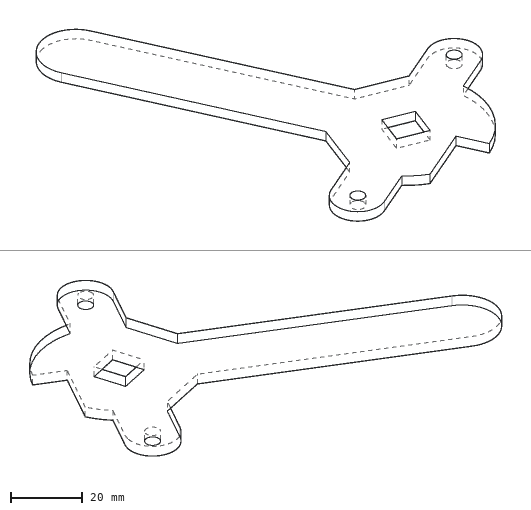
import cadquery as cq
import math

thickness = 3.2
overall_length = 135.0

hub_radius = 25.0
notch_x = 15.0

handle_half_width = 11.1
handle_tip_x = hub_radius - overall_length
handle_end_centre_x = handle_tip_x + handle_half_width

overall_width = 90.0
lug_half_width = 8.0
lug_hole_y = overall_width / 2 - lug_half_width
lug_hole_diameter = 4.5

shoulder_start_x = -19.7
shoulder_end_y = handle_half_width - lug_half_width - shoulder_start_x

drive_diagonal = 14.5
drive_side = drive_diagonal / math.sqrt(2)


def hub_height(x):
    """Height of the hub circle above the X axis at a given x."""
    return math.sqrt(hub_radius**2 - x**2)


def hub_point(angle):
    """Point on the hub circle at an angle in radians from +X."""
    return (hub_radius * math.cos(angle), hub_radius * math.sin(angle))


lug_angle = math.acos(lug_half_width / hub_radius)
notch_angle = math.acos(notch_x / hub_radius)


def plate():
    """Outline followed clockwise from the upper handle edge."""
    outline = (
        cq.Workplane("XY")
        .moveTo(handle_end_centre_x, handle_half_width)
        .lineTo(shoulder_start_x, handle_half_width)
        .lineTo(-lug_half_width, shoulder_end_y)
        .lineTo(-lug_half_width, lug_hole_y)
        .threePointArc((0, overall_width / 2), (lug_half_width, lug_hole_y))
        .lineTo(lug_half_width, hub_height(lug_half_width))
        .threePointArc(hub_point(lug_angle / 2), (hub_radius, 0))
        .lineTo(notch_x, 0)
        .lineTo(notch_x, -hub_height(notch_x))
        .threePointArc(
            hub_point(-(notch_angle + lug_angle) / 2),
            (lug_half_width, -hub_height(lug_half_width)),
        )
        .lineTo(lug_half_width, -lug_hole_y)
        .threePointArc((0, -overall_width / 2), (-lug_half_width, -lug_hole_y))
        .lineTo(-lug_half_width, -shoulder_end_y)
        .lineTo(shoulder_start_x, -handle_half_width)
        .lineTo(handle_end_centre_x, -handle_half_width)
        .threePointArc((handle_tip_x, 0), (handle_end_centre_x, handle_half_width))
        .close()
    )
    return outline.extrude(thickness)


def lug_holes():
    return (
        cq.Workplane("XY")
        .pushPoints([(0, lug_hole_y), (0, -lug_hole_y)])
        .circle(lug_hole_diameter / 2)
        .extrude(thickness)
    )


def drive_hole():
    square = cq.Workplane("XY").rect(drive_side, drive_side).extrude(thickness)
    return square.rotate((0, 0, 0), (0, 0, 1), 45)


result = plate().cut(lug_holes()).cut(drive_hole())